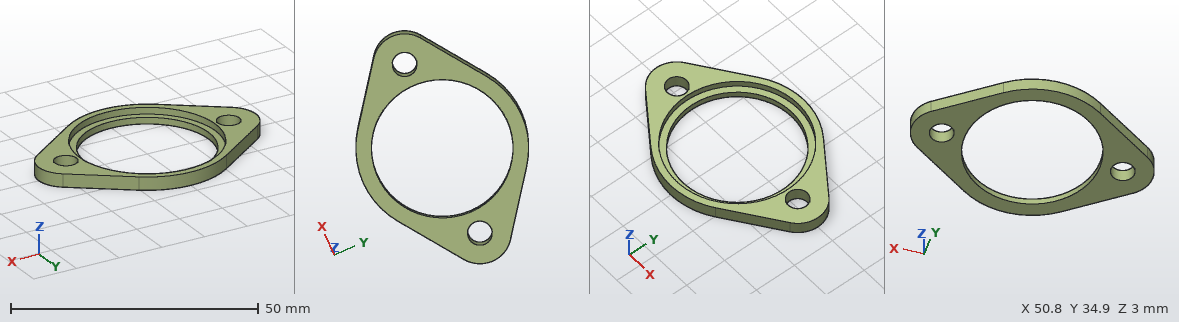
import cadquery as cq
import math

length = 50.8
thickness = 3.0
body_radius = 17.45
ear_radius = 6.35
bolt_hole_diameter = 5.0
bore_diameter = 28.6
recess_diameter = 31.75
recess_depth = thickness / 2

ear_offset = length / 2 - ear_radius

normal_x = (body_radius - ear_radius) / ear_offset
normal_y = math.sqrt(1 - normal_x**2)

body_x = body_radius * normal_x
body_y = body_radius * normal_y
ear_x = ear_offset + ear_radius * normal_x
ear_y = ear_radius * normal_y


def make_flange():
    """Two-eared plate with straight flanks tangent to all four arcs."""
    return (
        cq.Workplane("XY")
        .moveTo(-body_x, body_y)
        .threePointArc((0, body_radius), (body_x, body_y))
        .lineTo(ear_x, ear_y)
        .threePointArc((length / 2, 0), (ear_x, -ear_y))
        .lineTo(body_x, -body_y)
        .threePointArc((0, -body_radius), (-body_x, -body_y))
        .lineTo(-ear_x, -ear_y)
        .threePointArc((-length / 2, 0), (-ear_x, ear_y))
        .close()
        .extrude(thickness)
    )


def cut_stepped_bore(plate):
    """Central through bore with a wider recess in the top face."""
    return plate.faces(">Z").workplane(origin=(0, 0, thickness)).cboreHole(
        bore_diameter, recess_diameter, recess_depth
    )


def cut_bolt_holes(plate):
    """One through hole concentric with each ear."""
    return (
        plate.faces(">Z")
        .workplane(origin=(0, 0, thickness))
        .pushPoints([(-ear_offset, 0), (ear_offset, 0)])
        .hole(bolt_hole_diameter)
    )


result = cut_bolt_holes(cut_stepped_bore(make_flange()))